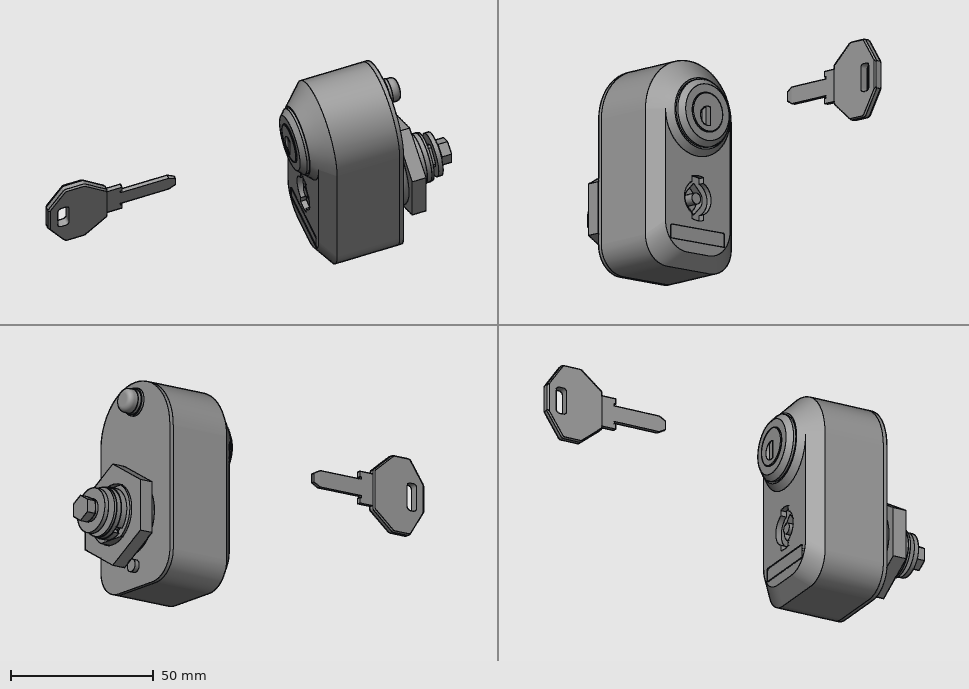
import cadquery as cq
import math


BODY_WIDTH = 40.0
BODY_BOTTOM_Z = -25.0
BODY_CORNER_RADIUS = 10.0
LOCK_Z = 30.0
CHAMFER = 5.0
FRONT_Y = -30.0
SHOULDER_Y = FRONT_Y + CHAMFER
GASKET_THICKNESS = 1.5
CONE_END_Y = -32.3
CONE_END_RADIUS = BODY_WIDTH / 2 - (SHOULDER_Y - CONE_END_Y)

LABEL_WIDTH = 25.0
LABEL_BOTTOM_Z = -15.9
LABEL_TOP_Z = -10.9
LABEL_DEPTH = 0.3
LABEL_CORNER_RADIUS = 0.8

ACCESS_RADIUS = 6.2
ACCESS_SLOT_WIDTH = 5.2
ACCESS_SLOT_RADIUS = 8.1
ACCESS_DEPTH = 2.2

STUD_Z = 42.7
STUD_COLLAR_RADIUS = 5.0
STUD_COLLAR_END_Y = 0.9
STUD_SHOULDER_RADIUS = 4.5
STUD_SHOULDER_END_Y = 2.1
STUD_RADIUS = 4.3
STUD_END_Y = 5.5
STUD_ROUNDING = 1.9
PIN_RADIUS = 2.25
PIN_Z = -17.1
PIN_END_Y = 1.8

BARREL_RADIUS = 11.0
BARREL_FLATS = 18.8
BARREL_END_Y = 10.8

LOCK_RADIUS = 12.1
LOCK_EDGE_Y = -33.2
LOCK_FACE_Y = -35.1
LOCK_FACE_RADIUS = 10.1
LOCK_BACK_Y = -10.0
PLUG_RADIUS = 7.1
PLUG_FACE_Y = -35.5
PLUG_CHAMFER = 0.3
KEYWAY_RADIUS = 3.5
KEYWAY_FLOOR_RADIUS = 2.6
KEYWAY_Z = LOCK_Z - 1.4
KEYWAY_LEFT_X = -1.0
KEYWAY_RIGHT_X = 1.2
KEYWAY_DEPTH = 2.0
KEYWAY_LEDGE_DEPTH = 0.1

SPINDLE_RADIUS = 8.3
SPINDLE_NECK_RADIUS = 7.6
SPINDLE_RING_END_Y = 13.1
SPINDLE_HEAD_RADIUS = 9.0
SPINDLE_STEP_Y = 14.9
SPINDLE_STEP_RADIUS = 8.8
SPINDLE_HEAD_END_Y = 15.8
SQUARE_SIZE = 8.0
SQUARE_CORNER_RADIUS = 5.0
SQUARE_END_Y = 17.8
DRIVE_RADIUS = 4.0
DRIVE_DEPTH = 3.3
DRIVE_PIN_RADIUS = 2.0
DRIVE_PIN_RISE = 1.4

RING_RADIUS = 9.25
RING_GAP_START = 225.5
RING_GAP_END = 240.0

NUT_START_Y = 4.75
NUT_END_Y = 9.95
NUT_FLATS = 32.0
ORING_WIRE_RADIUS = 1.6
ORING_CENTRE_RADIUS = BARREL_RADIUS + ORING_WIRE_RADIUS

WASHER_RADIUS = 8.0
WASHER_END_Y = 19.5
BOLT_COLLAR_RADIUS = 4.1
BOLT_COLLAR_END_Y = 20.6
BOLT_HEAD_END_Y = 24.2
BOLT_HEAD_FLATS = 8.0
BOLT_SHANK_RADIUS = 2.5
BOLT_SHANK_START_Y = 8.0

KEY_Z = 28.6
BLADE_THICKNESS = 1.6
GRIP_THICKNESS = 3.1
KEY_TIP_Y = -78.3
BLADE_TIP_LENGTH = 2.6
BLADE_TIP_HALF = 1.6
BLADE_TIP_BEVEL = 0.25
BLADE_HALF = 3.0
COLLAR_Y = -98.4
COLLAR_HALF = 5.8
COLLAR_RELIEF_HALF = 3.8
COLLAR_RELIEF_DEPTH = 0.6
HEAD_Y = -104.0
HEAD_NECK_HALF = 7.1
HEAD_HALF = 14.0
HEAD_WIDE_START_Y = -112.6
HEAD_WIDE_END_Y = -120.1
HEAD_END_Y = -126.31
HEAD_END_TOP = 5.2
HEAD_END_BOTTOM = -4.6
HEAD_CORNER_RADIUS = 1.5
HEAD_EDGE_INSET = 0.4
KEY_SLOT_Y = -120.7
KEY_SLOT_WIDTH = 4.2
KEY_SLOT_HEIGHT = 10.0
KEY_SLOT_CORNER_RADIUS = 1.4


def facing_front(y):
    """Workplane at the given Y: local x is X, local y is Z, extrusion goes towards -Y."""
    return cq.Workplane("XZ", origin=(0, y, 0))


def cylinder(radius, start_y, end_y, z=0.0):
    """Cylinder along Y between two Y positions."""
    return facing_front(end_y).center(0, z).circle(radius).extrude(end_y - start_y)


def hexagon(across_flats, start_y, end_y):
    """Hexagonal prism along Y with its corners at the top and bottom."""
    corner_diameter = across_flats / math.cos(math.pi / 6)
    sketch = facing_front(end_y).transformed(rotate=(0, 0, 90)).polygon(6, corner_diameter)
    return sketch.extrude(end_y - start_y)


def box(x_min, x_max, y_min, y_max, z_min, z_max):
    """Box between two limits on each axis."""
    size = (x_max - x_min, y_max - y_min, z_max - z_min)
    return cq.Workplane("XY").box(*size, centered=False).translate((x_min, y_min, z_min))


def revolved(profile, z):
    """Solid of revolution about the Y axis at the given Z, from (radius, y) points."""
    sketch = cq.Workplane("XY").polyline(profile).close()
    return sketch.revolve(360, (0, 0, 0), (0, 1, 0)).translate((0, 0, z))


def lower_outline(plane, inset):
    """Outline below the lock axis; the corner arcs keep their radius and move with the inset."""
    side = BODY_WIDTH / 2 - inset
    bottom = BODY_BOTTOM_Z + inset
    corner_x = side - BODY_CORNER_RADIUS
    corner_z = bottom + BODY_CORNER_RADIUS
    diagonal = BODY_CORNER_RADIUS * math.sqrt(0.5)
    return (
        plane.moveTo(-side, LOCK_Z)
        .lineTo(side, LOCK_Z)
        .lineTo(side, corner_z)
        .threePointArc((corner_x + diagonal, corner_z - diagonal), (corner_x, bottom))
        .lineTo(-corner_x, bottom)
        .threePointArc((-corner_x - diagonal, corner_z - diagonal), (-side, corner_z))
        .close()
    )


def body_prism(start_y, end_y):
    """Full body outline: a half round about the lock axis above the lower outline."""
    lower = lower_outline(facing_front(end_y), 0).extrude(end_y - start_y)
    return lower.union(cylinder(BODY_WIDTH / 2, start_y, end_y, LOCK_Z))


def barrel(start_y):
    """Mounting barrel with two flats, from the given Y to its rear end."""
    flats = box(-BARREL_RADIUS, BARREL_RADIUS, start_y, BARREL_END_Y, -BARREL_FLATS / 2, BARREL_FLATS / 2)
    return cylinder(BARREL_RADIUS, start_y, BARREL_END_Y).intersect(flats)


def stud():
    """Stepped stud on the rear face with a rounded end."""
    rounded = cylinder(STUD_RADIUS, -GASKET_THICKNESS, STUD_END_Y).faces(">Y").edges().fillet(STUD_ROUNDING)
    shoulder = cylinder(STUD_SHOULDER_RADIUS, -GASKET_THICKNESS, STUD_SHOULDER_END_Y)
    collar = cylinder(STUD_COLLAR_RADIUS, -GASKET_THICKNESS, STUD_COLLAR_END_Y)
    return rounded.union(shoulder).union(collar).translate((0, 0, STUD_Z))


def rear_features():
    """Barrel, stud and locating pin, which all pass through the gasket."""
    pin = cylinder(PIN_RADIUS, -GASKET_THICKNESS, PIN_END_Y, PIN_Z)
    return barrel(-GASKET_THICKNESS).union(stud()).union(pin)


def access_opening():
    """Round opening with a short slot above and below it."""
    back_y = FRONT_Y + ACCESS_DEPTH
    half_width = ACCESS_SLOT_WIDTH / 2
    bar = box(-half_width, half_width, FRONT_Y, back_y, -ACCESS_SLOT_RADIUS, ACCESS_SLOT_RADIUS)
    slots = cylinder(ACCESS_SLOT_RADIUS, FRONT_Y, back_y).intersect(bar)
    return cylinder(ACCESS_RADIUS, FRONT_Y, back_y).union(slots)


def label_recess():
    """Shallow rectangle with rounded upper corners."""
    half_width = LABEL_WIDTH / 2
    recess = box(-half_width, half_width, FRONT_Y, FRONT_Y + LABEL_DEPTH, LABEL_BOTTOM_Z, LABEL_TOP_Z)
    return recess.edges("|Y and >Z").fillet(LABEL_CORNER_RADIUS)


def lock_cylinder_blank():
    """Lock cylinder envelope up to its chamfered face."""
    profile = [
        (0, LOCK_BACK_Y),
        (LOCK_RADIUS, LOCK_BACK_Y),
        (LOCK_RADIUS, LOCK_EDGE_Y),
        (LOCK_FACE_RADIUS, LOCK_FACE_Y),
        (0, LOCK_FACE_Y),
    ]
    return revolved(profile, LOCK_Z)


def spindle_blank():
    """Stepped round spindle, without its square end and its drive recess."""
    back_y = FRONT_Y + ACCESS_DEPTH
    front = cylinder(SPINDLE_RADIUS, back_y, BARREL_END_Y)
    neck = cylinder(SPINDLE_NECK_RADIUS, BARREL_END_Y, SPINDLE_RING_END_Y)
    head = cylinder(SPINDLE_HEAD_RADIUS, SPINDLE_RING_END_Y, SPINDLE_STEP_Y)
    step = cylinder(SPINDLE_STEP_RADIUS, SPINDLE_STEP_Y, SPINDLE_HEAD_END_Y)
    return front.union(neck).union(head).union(step)


def make_housing():
    """Housing with its front chamfer and lock cone, the rear features and the bores."""
    housing = body_prism(SHOULDER_Y, -GASKET_THICKNESS)
    front_outline = lower_outline(facing_front(SHOULDER_Y), 0)
    front = lower_outline(front_outline.workplane(offset=CHAMFER), CHAMFER).loft(ruled=True)
    cone_profile = [
        (0, SHOULDER_Y),
        (BODY_WIDTH / 2, SHOULDER_Y),
        (CONE_END_RADIUS, CONE_END_Y),
        (0, CONE_END_Y),
    ]
    housing = housing.union(front).union(revolved(cone_profile, LOCK_Z)).union(rear_features())
    housing = housing.cut(label_recess()).cut(access_opening())
    return housing.cut(lock_cylinder_blank()).cut(spindle_blank())


def make_gasket():
    """Flat gasket on the back of the housing, pierced by the rear features and the spindle."""
    return body_prism(-GASKET_THICKNESS, 0).cut(rear_features()).cut(spindle_blank())


def make_lock_cylinder():
    """Lock cylinder with a raised plug face and a D-shaped keyway."""
    plug = cylinder(PLUG_RADIUS, PLUG_FACE_Y, LOCK_FACE_Y, LOCK_Z)
    plug = plug.faces("<Y").edges().chamfer(PLUG_CHAMFER)
    pocket_profile = [
        (0, PLUG_FACE_Y),
        (KEYWAY_RADIUS, PLUG_FACE_Y),
        (KEYWAY_FLOOR_RADIUS, PLUG_FACE_Y + KEYWAY_DEPTH),
        (0, PLUG_FACE_Y + KEYWAY_DEPTH),
    ]
    pocket = revolved(pocket_profile, KEYWAY_Z)
    z_limits = (KEYWAY_Z - KEYWAY_RADIUS, KEYWAY_Z + KEYWAY_RADIUS)
    ledge_y = PLUG_FACE_Y + KEYWAY_LEDGE_DEPTH
    deep = box(-KEYWAY_RADIUS, KEYWAY_LEFT_X, PLUG_FACE_Y, PLUG_FACE_Y + KEYWAY_DEPTH, *z_limits)
    ledge = box(KEYWAY_LEFT_X, KEYWAY_RIGHT_X, PLUG_FACE_Y, ledge_y, *z_limits)
    keyway = pocket.intersect(deep.union(ledge))
    return lock_cylinder_blank().union(plug).cut(keyway)


def make_spindle():
    """Spindle with a square end, a tapped hole and a pointed-oval drive recess around a pin."""
    square_start_y = SPINDLE_HEAD_END_Y
    length = SQUARE_END_Y - square_start_y
    sketch = facing_front(SQUARE_END_Y).transformed(rotate=(0, 0, 45)).rect(SQUARE_SIZE, SQUARE_SIZE)
    square = sketch.extrude(length)
    square = square.intersect(cylinder(SQUARE_CORNER_RADIUS, square_start_y, SQUARE_END_Y))

    face_y = FRONT_Y + ACCESS_DEPTH
    floor_y = face_y + DRIVE_DEPTH
    tangent = DRIVE_RADIUS * math.sqrt(0.5)
    point = DRIVE_RADIUS * math.sqrt(2)
    drive = (
        facing_front(floor_y)
        .moveTo(0, point)
        .lineTo(tangent, tangent)
        .threePointArc((DRIVE_RADIUS, 0), (tangent, -tangent))
        .lineTo(0, -point)
        .lineTo(-tangent, -tangent)
        .threePointArc((-DRIVE_RADIUS, 0), (-tangent, tangent))
        .close()
        .extrude(DRIVE_DEPTH)
    )
    drive_pin = cylinder(DRIVE_PIN_RADIUS, face_y - DRIVE_PIN_RISE, floor_y)
    spindle = spindle_blank().union(square).cut(drive).union(drive_pin)
    return spindle.cut(cylinder(BOLT_SHANK_RADIUS, BOLT_SHANK_START_Y, SQUARE_END_Y))


def make_retaining_ring():
    """Flat ring in the spindle neck, split by a gap."""
    ring = cylinder(RING_RADIUS, BARREL_END_Y, SPINDLE_RING_END_Y)
    ring = ring.cut(cylinder(SPINDLE_NECK_RADIUS, BARREL_END_Y, SPINDLE_RING_END_Y))
    reach = 2 * RING_RADIUS
    corners = [
        (reach * math.cos(math.radians(angle)), reach * math.sin(math.radians(angle)))
        for angle in (RING_GAP_START, RING_GAP_END)
    ]
    gap = facing_front(SPINDLE_RING_END_Y).polyline([(0, 0), *corners]).close()
    return ring.cut(gap.extrude(SPINDLE_RING_END_Y - BARREL_END_Y))


def make_oring():
    """O-ring around the barrel, against the nut."""
    wire = cq.Workplane("XY").center(ORING_CENTRE_RADIUS, NUT_START_Y - ORING_WIRE_RADIUS)
    axis_start = (-ORING_CENTRE_RADIUS, 0, 0)
    axis_end = (-ORING_CENTRE_RADIUS, 1, 0)
    return wire.circle(ORING_WIRE_RADIUS).revolve(360, axis_start, axis_end)


def make_nut():
    """Hexagon nut on the barrel."""
    return hexagon(NUT_FLATS, NUT_START_Y, NUT_END_Y).cut(cylinder(BARREL_RADIUS, NUT_START_Y, NUT_END_Y))


def make_washer():
    """Plain washer on the end of the spindle."""
    bore = cylinder(BOLT_SHANK_RADIUS, SQUARE_END_Y, WASHER_END_Y)
    return cylinder(WASHER_RADIUS, SQUARE_END_Y, WASHER_END_Y).cut(bore)


def make_bolt():
    """Hexagon bolt with a round collar under its head."""
    shank = cylinder(BOLT_SHANK_RADIUS, BOLT_SHANK_START_Y, WASHER_END_Y)
    collar = cylinder(BOLT_COLLAR_RADIUS, WASHER_END_Y, BOLT_COLLAR_END_Y)
    head = hexagon(BOLT_HEAD_FLATS, BOLT_COLLAR_END_Y, BOLT_HEAD_END_Y)
    return shank.union(collar).union(head)


def key_plate(points, thickness):
    """Flat plate centred on X = 0 from (y, z) points, with z measured from the key axis."""
    sketch = cq.Workplane("YZ", origin=(-thickness / 2, 0, KEY_Z)).polyline(points).close()
    return sketch.extrude(thickness)


def key_blade():
    """Blade with a pointed tip, bevelled on its -X side."""
    tip_start_y = KEY_TIP_Y - BLADE_TIP_LENGTH
    points = [
        (KEY_TIP_Y, BLADE_TIP_HALF),
        (tip_start_y, BLADE_HALF),
        (HEAD_Y, BLADE_HALF),
        (HEAD_Y, -BLADE_HALF),
        (tip_start_y, -BLADE_HALF),
        (KEY_TIP_Y, -BLADE_TIP_HALF),
    ]
    side_x = -BLADE_THICKNESS / 2
    bevel_points = [(side_x, tip_start_y), (side_x, KEY_TIP_Y), (side_x + BLADE_TIP_BEVEL, KEY_TIP_Y)]
    bevel = cq.Workplane("XY", origin=(0, 0, KEY_Z - BLADE_HALF)).polyline(bevel_points).close()
    return key_plate(points, BLADE_THICKNESS).cut(bevel.extrude(2 * BLADE_HALF))


def key_collar():
    """Stop collar with a shallow relief next to the blade."""
    relief_y = COLLAR_Y - COLLAR_RELIEF_DEPTH
    points = [
        (COLLAR_Y, COLLAR_HALF),
        (HEAD_Y, COLLAR_HALF),
        (HEAD_Y, -COLLAR_HALF),
        (COLLAR_Y, -COLLAR_HALF),
        (COLLAR_Y, -COLLAR_RELIEF_HALF),
        (relief_y, -COLLAR_RELIEF_HALF),
        (relief_y, COLLAR_RELIEF_HALF),
        (COLLAR_Y, COLLAR_RELIEF_HALF),
    ]
    return key_plate(points, BLADE_THICKNESS)


def key_head():
    """Eight-sided head with rounded side corners and bevelled edges on both faces."""
    points = [
        (HEAD_Y, HEAD_NECK_HALF),
        (HEAD_WIDE_START_Y, HEAD_HALF),
        (HEAD_WIDE_END_Y, HEAD_HALF),
        (HEAD_END_Y, HEAD_END_TOP),
        (HEAD_END_Y, HEAD_END_BOTTOM),
        (HEAD_WIDE_END_Y, -HEAD_HALF),
        (HEAD_WIDE_START_Y, -HEAD_HALF),
        (HEAD_Y, -HEAD_NECK_HALF),
    ]
    bevel_thickness = (GRIP_THICKNESS - BLADE_THICKNESS) / 2
    head = key_plate(points, GRIP_THICKNESS)
    head = head.edges("|X").edges("not <Y").fillet(HEAD_CORNER_RADIUS)
    return head.faces("<X or >X").chamfer(bevel_thickness, HEAD_EDGE_INSET)


def make_key():
    """Key: blade, collar and head, with a slot through the head."""
    slot = cq.Workplane("XY").box(GRIP_THICKNESS, KEY_SLOT_WIDTH, KEY_SLOT_HEIGHT)
    slot = slot.edges("|X").fillet(KEY_SLOT_CORNER_RADIUS)
    head = key_head().cut(slot.translate((0, KEY_SLOT_Y, KEY_Z)))
    return key_blade().union(key_collar()).union(head)


housing = make_housing()
gasket = make_gasket()
lock_cylinder = make_lock_cylinder()
spindle = make_spindle()
retaining_ring = make_retaining_ring()
oring = make_oring()
nut = make_nut()
washer = make_washer()
bolt = make_bolt()
key = make_key()

result = cq.Compound.makeCompound(
    [
        housing.val(),
        gasket.val(),
        lock_cylinder.val(),
        spindle.val(),
        retaining_ring.val(),
        oring.val(),
        nut.val(),
        washer.val(),
        bolt.val(),
        key.val(),
    ]
)